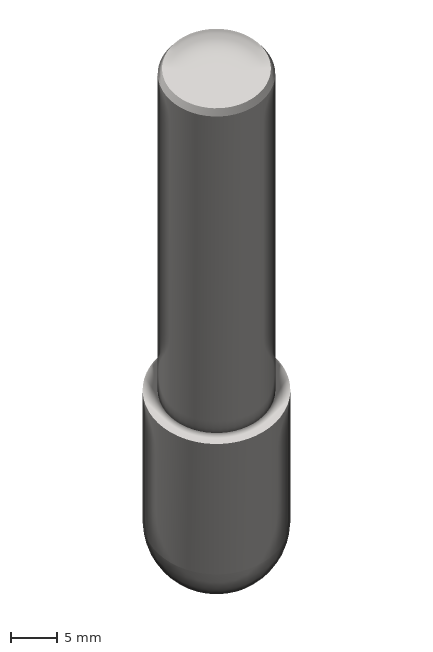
import cadquery as cq
import math

TOTAL_LENGTH = 79.4
CAP_DIAMETER = 15.95
CAP_LENGTH = 28.6
ROD_DIAMETER = 12.7
ROD_CHAMFER_WIDTH = 0.5
ROD_CHAMFER_HEIGHT = 0.8

CAP_RADIUS = CAP_DIAMETER / 2
ROD_RADIUS = ROD_DIAMETER / 2
DOME_CENTRE_Z = CAP_RADIUS


def round_ended_bar(radius, top_z):
    """Vertical bar with a flat top and a hemispherical lower end about the dome centre."""
    arc_middle = radius * math.sin(math.radians(45))
    return (
        cq.Workplane("XZ")
        .moveTo(0, DOME_CENTRE_Z - radius)
        .threePointArc((arc_middle, DOME_CENTRE_Z - arc_middle), (radius, DOME_CENTRE_Z))
        .lineTo(radius, top_z)
        .lineTo(0, top_z)
        .close()
        .revolve(360, (0, 0, 0), (0, 1, 0))
    )


def make_rod():
    """Rod with a hemispherical lower end and a chamfered upper end."""
    rod_blank = round_ended_bar(ROD_RADIUS, TOTAL_LENGTH)
    return rod_blank.faces(">Z").chamfer(ROD_CHAMFER_HEIGHT, ROD_CHAMFER_WIDTH)


def make_cap():
    """Domed sleeve of even wall thickness that fits over the lower end of the rod."""
    socket = round_ended_bar(ROD_RADIUS, CAP_LENGTH)
    return round_ended_bar(CAP_RADIUS, CAP_LENGTH).cut(socket)


rod = make_rod()
cap = make_cap()
result = cq.Compound.makeCompound([rod.val(), *cap.vals()])